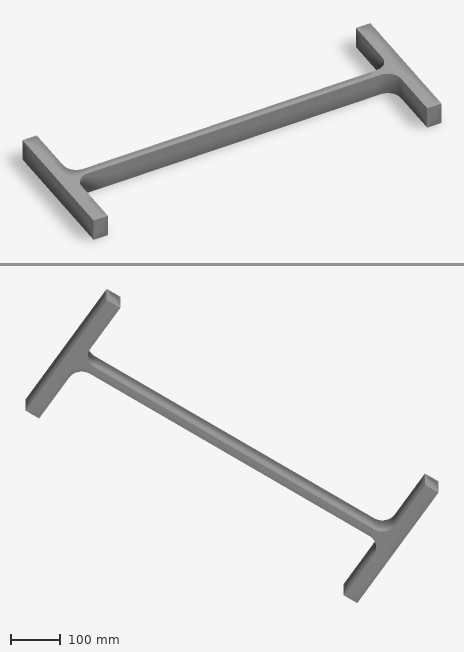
import cadquery as cq

depth = 800.0
flange_width = 300.0
flange_thickness = 33.0
web_thickness = 18.0
root_radius = 30.0
slice_height = 50.0

flange_offset = (depth - flange_thickness) / 2
web_length = depth - 2 * flange_thickness

flanges = (
    cq.Workplane("XY")
    .pushPoints([(0, -flange_offset), (0, flange_offset)])
    .rect(flange_width, flange_thickness)
    .extrude(slice_height)
)

web = cq.Workplane("XY").rect(web_thickness, web_length).extrude(slice_height)
beam = flanges.union(web)

root_box = cq.selectors.BoxSelector(
    (-web_thickness, -flange_offset, 0),
    (web_thickness, flange_offset, slice_height),
)
result = beam.edges("|Z").edges(root_box).fillet(root_radius)